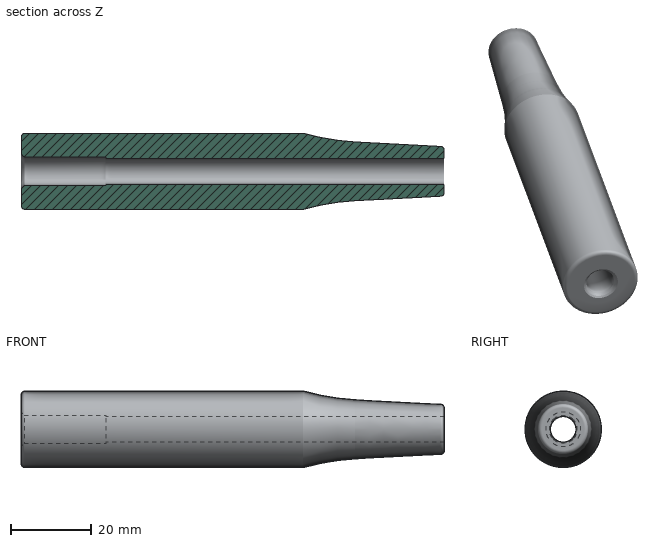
import cadquery as cq
import math

length = 105.4
body_radius = 19.1 / 2
body_length = 70.3
edge_radius = 1.0

cone_start = 83.3
cone_start_radius = 7.4
tip_radius = 6.2

bore_radius = 6.3 / 2
entry_radius = 7.0 / 2
entry_depth = 21.1

mouth_radius = 8.6 / 2
lead_in_radius = 7.8 / 2
lead_in_depth = 0.3
countersink_depth = 0.8


def flare_midpoint():
    """Middle of the arc that is tangent to the nose cone and meets the body."""
    cone_angle = math.atan2(tip_radius - cone_start_radius, length - cone_start)
    normal_x = -math.sin(cone_angle)
    normal_y = math.cos(cone_angle)
    chord_x = body_length - cone_start
    chord_y = body_radius - cone_start_radius
    offset = chord_x * normal_x + chord_y * normal_y
    flare_radius = (chord_x**2 + chord_y**2) / (2 * offset)
    center_x = cone_start + flare_radius * normal_x
    center_y = cone_start_radius + flare_radius * normal_y
    start_angle = math.atan2(body_radius - center_y, body_length - center_x)
    end_angle = math.atan2(cone_start_radius - center_y, cone_start - center_x)
    middle_angle = (start_angle + end_angle) / 2
    return (
        center_x + flare_radius * math.cos(middle_angle),
        center_y + flare_radius * math.sin(middle_angle),
    )


def make_sleeve():
    """Solid outer shape with both end rims rounded."""
    sleeve = (
        cq.Workplane("XY")
        .lineTo(0, body_radius)
        .lineTo(body_length, body_radius)
        .threePointArc(flare_midpoint(), (cone_start, cone_start_radius))
        .lineTo(length, tip_radius)
        .lineTo(length, 0)
        .close()
        .revolve(360, (0, 0, 0), (1, 0, 0))
    )
    return sleeve.faces("<X or >X").edges().fillet(edge_radius)


def make_bore():
    """Material removed by the countersink, wider entry and through bore."""
    return (
        cq.Workplane("XY")
        .lineTo(0, mouth_radius)
        .lineTo(lead_in_depth, lead_in_radius)
        .lineTo(countersink_depth, entry_radius)
        .lineTo(entry_depth, entry_radius)
        .lineTo(entry_depth, bore_radius)
        .lineTo(length, bore_radius)
        .lineTo(length, 0)
        .close()
        .revolve(360, (0, 0, 0), (1, 0, 0))
    )


result = make_sleeve().cut(make_bore())